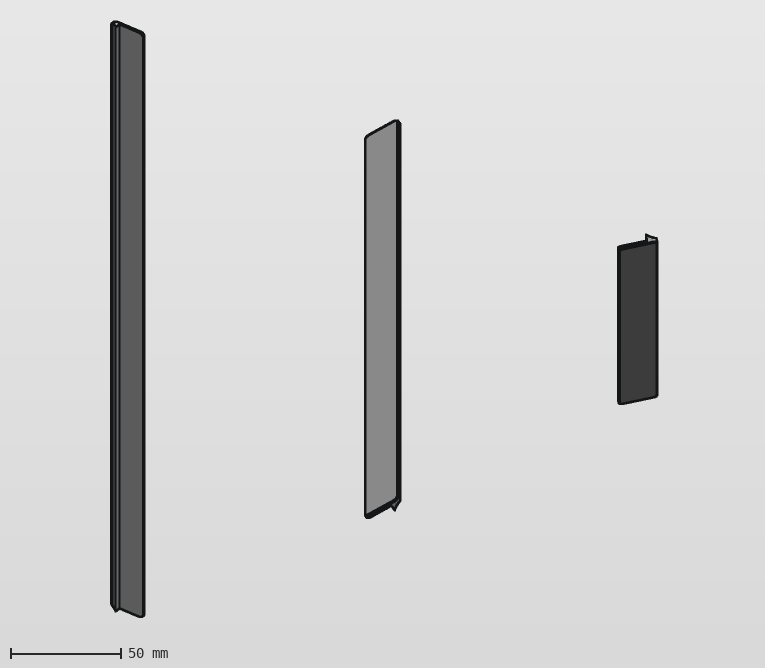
import cadquery as cq

length = 320.0
width = 18.0
depth = 4.5

plate_thickness = 1.5
lip_width = 4.5
side_depth = 2.2
back_bevel = 0.48
lip_flat = 1.0
lip_curve_mid = (3.0, -3.2)

corner_radius = 2.2


def lip_profile():
    """Plate and lip section in XY, with the flat back on Y = 0."""
    return (
        cq.Workplane("XY")
        .moveTo(0, 0)
        .lineTo(width, 0)
        .lineTo(width, -plate_thickness)
        .lineTo(lip_width, -plate_thickness)
        .lineTo(lip_width, -depth)
        .threePointArc(lip_curve_mid, (lip_flat, -side_depth))
        .lineTo(0, -side_depth)
        .close()
    )


def bevelled_outline():
    """Rounded, back-bevelled rectangle through the full depth, used to trim the strip ends."""
    return (
        cq.Workplane("XY")
        .box(width, depth, length, centered=False)
        .translate((0, -depth, 0))
        .edges("|Y")
        .fillet(corner_radius)
        .faces(">Y")
        .chamfer(back_bevel)
    )


strip = lip_profile().extrude(length)
result = strip.intersect(bevelled_outline())